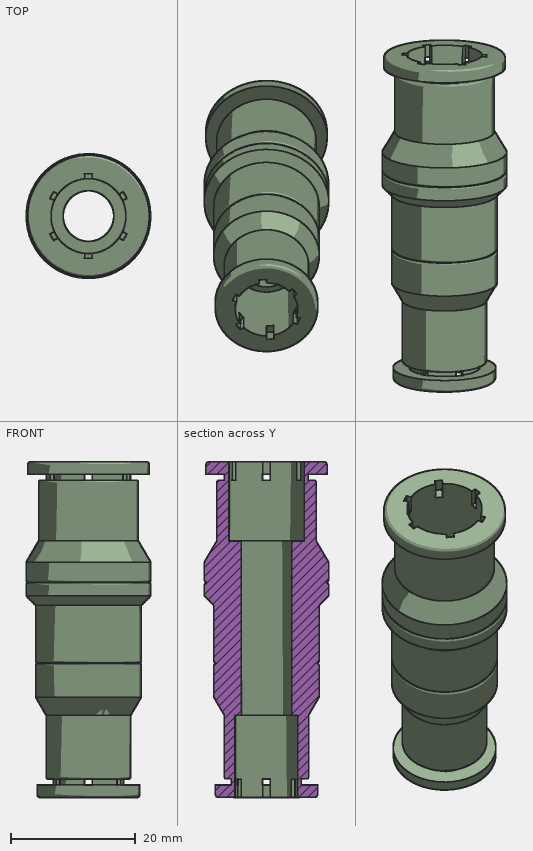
import cadquery as cq
import math

height = 53.9
collar_thickness = 2.05
neck_length = 0.9
lower_body_bottom = collar_thickness + neck_length
lower_cone_bottom = 13.2
lower_cone_top = 16.1
lower_groove_level = 21.55
rim_chamfer_top = 32.35
upper_groove_level = 34.5
upper_cone_bottom = 37.8
upper_cone_top = 41.2
upper_body_top = height - collar_thickness - neck_length

lower_collar_radius = 16.5 / 2
lower_neck_radius = 11.3 / 2
lower_body_radius = 13.6 / 2
middle_radius = 17.0 / 2
rim_radius = 20.0 / 2
upper_body_radius = 16.0 / 2
upper_neck_radius = 13.6 / 2
upper_collar_radius = 19.5 / 2

rim_chamfer_bottom = rim_chamfer_top - (rim_radius - middle_radius)

through_radius = 8.1 / 2
lower_bore_radius = 10.0 / 2
upper_bore_radius = 12.0 / 2

collar_rounding = 0.55
body_rounding = 0.4
groove_rounding = 0.3
groove_floor_width = 0.1
slot_width = 1.2
slot_count = 6
first_slot_angle = 30.0


def cylinder(radius, bottom, top):
    return cq.Workplane("XY").workplane(offset=bottom).circle(radius).extrude(top - bottom)


def round_top_edge(profile, radius, level, rounding):
    """Continue an upward wall with a quarter round that turns inward at the given level."""
    arc_reach = rounding * math.sqrt(0.5)
    return (
        profile.lineTo(radius, level - rounding)
        .threePointArc(
            (radius - rounding + arc_reach, level - rounding + arc_reach),
            (radius - rounding, level),
        )
    )


def round_bottom_edge(profile, radius, level, rounding):
    """Step to the given level and turn upward through a quarter round onto a wall."""
    arc_reach = rounding * math.sqrt(0.5)
    return (
        profile.lineTo(radius - rounding, level)
        .threePointArc(
            (radius - rounding + arc_reach, level + rounding - arc_reach),
            (radius, level + rounding),
        )
    )


def joint_groove(profile, radius, level):
    """Cut a groove with rounded lips around a wall, centred on the given level."""
    profile = round_top_edge(profile, radius, level - groove_floor_width / 2, groove_rounding)
    return round_bottom_edge(profile, radius, level + groove_floor_width / 2, groove_rounding)


def outer_shape():
    profile = cq.Workplane("XZ").moveTo(0, 0)

    profile = round_bottom_edge(profile, lower_collar_radius, 0, collar_rounding)
    profile = (
        profile.lineTo(lower_collar_radius, collar_thickness)
        .lineTo(lower_neck_radius, collar_thickness)
        .lineTo(lower_neck_radius, lower_body_bottom)
    )

    profile = round_bottom_edge(profile, lower_body_radius, lower_body_bottom, body_rounding)
    profile = profile.lineTo(lower_body_radius, lower_cone_bottom).lineTo(middle_radius, lower_cone_top)
    profile = joint_groove(profile, middle_radius, lower_groove_level)

    profile = profile.lineTo(middle_radius, rim_chamfer_bottom).lineTo(rim_radius, rim_chamfer_top)
    profile = joint_groove(profile, rim_radius, upper_groove_level)
    profile = profile.lineTo(rim_radius, upper_cone_bottom).lineTo(upper_body_radius, upper_cone_top)
    profile = round_top_edge(profile, upper_body_radius, upper_body_top, body_rounding)

    collar_bottom = height - collar_thickness
    profile = (
        profile.lineTo(upper_neck_radius, upper_body_top)
        .lineTo(upper_neck_radius, collar_bottom)
        .lineTo(upper_collar_radius, collar_bottom)
    )
    profile = round_top_edge(profile, upper_collar_radius, height, collar_rounding)
    return profile.lineTo(0, height).close().revolve(360, (0, 0, 0), (0, 1, 0))


def sleeve_slots(outer_radius, bottom, top):
    """Radial slots through one collar and neck, ending at the neck's outer surface."""
    blades = cq.Workplane("XY")
    for index in range(slot_count):
        angle = first_slot_angle + index * 360 / slot_count
        blade = (
            cq.Workplane("XY")
            .workplane(offset=bottom)
            .rect(outer_radius * 2, slot_width)
            .extrude(top - bottom)
            .translate((outer_radius, 0, 0))
            .rotate((0, 0, 0), (0, 0, 1), angle)
        )
        blades = blades.add(blade)
    return blades.combine().intersect(cylinder(outer_radius, bottom, top))


result = (
    outer_shape()
    .cut(cylinder(through_radius, 0, height))
    .cut(cylinder(lower_bore_radius, 0, lower_cone_bottom))
    .cut(cylinder(upper_bore_radius, upper_cone_top, height))
    .cut(sleeve_slots(lower_neck_radius, 0, lower_body_bottom))
    .cut(sleeve_slots(upper_neck_radius, upper_body_top, height))
)